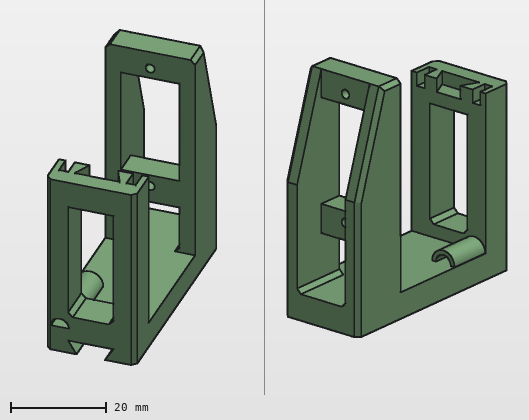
import cadquery as cq

width = 20.0
depth = 50.0
height = 54.0
edge_chamfer = 1.0

floor_thickness = 6.0
front_post_depth = 8.0
front_post_height = 42.0
rear_post_depth = 14.0
rear_beam_depth = 6.0
slope_start_z = 30.35
rear_post_y = depth - rear_post_depth
rear_beam_y = rear_post_y + rear_beam_depth

front_window_width = 10.05
front_window_bottom = 8.95
front_window_top = 35.95

rear_window_width = 13.0
rear_lower_window_top = 17.0
rear_upper_window_bottom = 23.6
rear_upper_window_top = 47.6
screw_diameter = 2.0
screw_heights = (20.95, 49.95)

socket_depth = 3.0
socket_reach = 4.0
prong_width = 2.05
prong_spacing = 15.0

dovetail_wide = 10.05
dovetail_narrow = 6.3

slot_height = 3.0
slot_length = rear_post_y
bump_radius = screw_diameter / 2
bump_y = front_post_depth / 2

tunnel_outer_radius = 3.0
tunnel_bore_radius = 2.0
tunnel_end_y = 18.1
tunnel_side_offset = 3.15
tunnel_x = tunnel_side_offset - width / 2


def box(x_size, y_from, y_to, z_from, z_to, x_centre=0.0):
    """Block centred on x_centre, between the given Y and Z limits."""
    block = cq.Workplane("XY").box(x_size, y_to - y_from, z_to - z_from, centered=(True, False, False))
    return block.translate((x_centre, y_from, z_from))


def window(opening_width, y_from, y_to, z_from, z_to):
    """Opening along Y with its two lower corners bevelled."""
    return box(opening_width, y_from, y_to, z_from, z_to).edges("|Y and <Z").chamfer(edge_chamfer)


def half_round(radius, start_y):
    """Upper half of a cylinder on the floor, from start_y to the rear end of the tunnel."""
    axis_plane = cq.Workplane("XZ", origin=(tunnel_x, start_y, floor_thickness))
    cylinder = axis_plane.circle(radius).extrude(start_y - tunnel_end_y)
    return cylinder.intersect(box(width, 0, depth, floor_thickness, height))


def dovetail_points(wide_at, narrow_at):
    """Corners of a symmetric dovetail section that tapers along its second axis."""
    return [
        (-dovetail_wide / 2, wide_at),
        (dovetail_wide / 2, wide_at),
        (dovetail_narrow / 2, narrow_at),
        (-dovetail_narrow / 2, narrow_at),
    ]


def frame():
    """U-shaped body with a sloped rear post and bevelled outer edges."""
    body = (
        cq.Workplane("YZ")
        .moveTo(0, 0)
        .lineTo(depth, 0)
        .lineTo(depth, slope_start_z)
        .lineTo(rear_beam_y, height)
        .lineTo(rear_post_y, height)
        .lineTo(rear_post_y, floor_thickness)
        .lineTo(front_post_depth, floor_thickness)
        .lineTo(front_post_depth, front_post_height)
        .lineTo(0, front_post_height)
        .close()
        .extrude(width / 2, both=True)
    )
    slope_middle = ((depth + rear_beam_y) / 2, (slope_start_z + height) / 2)
    bevelled_edges = [
        (0, front_post_height / 2),
        (depth, slope_start_z / 2),
        slope_middle,
        ((rear_post_y + rear_beam_y) / 2, height),
    ]
    corners = cq.Workplane("XY").newObject([])
    for y, z in bevelled_edges:
        for x in (-width / 2, width / 2):
            corners = corners.add(body.edges(cq.selectors.NearestToPointSelector((x, y, z))))
    return body.newObject(corners.vals()).chamfer(edge_chamfer)


def rear_openings():
    """Two windows, the full-height recess behind the beams, and the screw holes."""
    lower = window(rear_window_width, rear_post_y, depth, floor_thickness, rear_lower_window_top)
    upper = box(rear_window_width, rear_post_y, depth, rear_upper_window_bottom, rear_upper_window_top)
    recess = window(rear_window_width, rear_beam_y, depth, floor_thickness, height)
    openings = lower.union(upper).union(recess)
    for z in screw_heights:
        hole = cq.Workplane("XZ").center(0, z).circle(screw_diameter / 2).extrude(-depth)
        openings = openings.union(hole.intersect(box(width, rear_post_y, depth, 0, height)))
    return openings


def top_sockets():
    """Dovetail socket flanked by two straight prong slots."""
    socket_y = front_post_depth - socket_reach
    socket_floor = front_post_height - socket_depth
    sockets = (
        cq.Workplane("XY", origin=(0, 0, socket_floor))
        .polyline(dovetail_points(socket_y, front_post_depth))
        .close()
        .extrude(socket_depth)
    )
    for x in (-prong_spacing / 2, prong_spacing / 2):
        prong = box(prong_width, socket_y, front_post_depth, socket_floor, front_post_height, x)
        sockets = sockets.union(prong)
    return sockets


def underside_slot():
    """Dovetail slot along Y, with a round detent bump left on its ceiling."""
    slot = cq.Workplane("XZ").polyline(dovetail_points(slot_height, 0)).close().extrude(-slot_length)
    bump = cq.Workplane("XY").sphere(bump_radius).translate((0, bump_y, slot_height))
    return slot.cut(bump)


front_window = window(front_window_width, 0, front_post_depth, front_window_bottom, front_window_top)

result = (
    frame()
    .union(half_round(tunnel_outer_radius, front_post_depth))
    .cut(half_round(tunnel_bore_radius, 0))
    .cut(front_window)
    .cut(rear_openings())
    .cut(top_sockets())
    .cut(underside_slot())
)